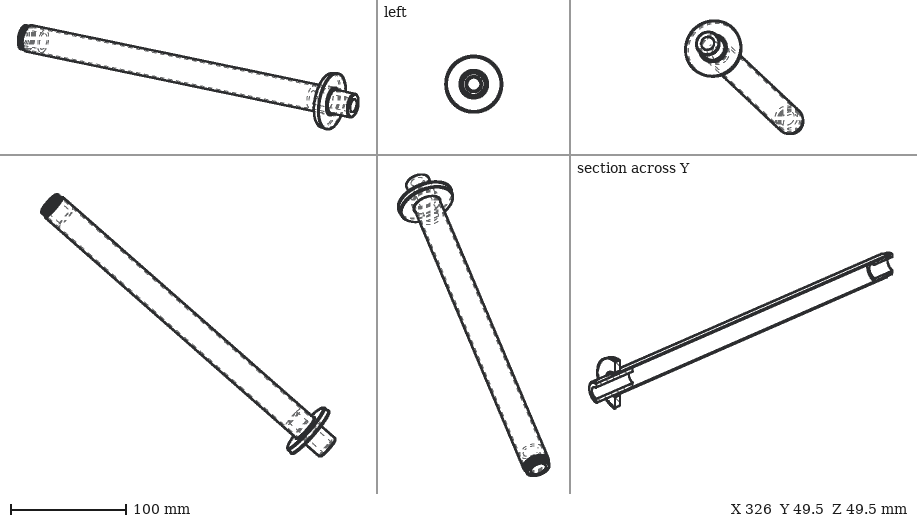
import cadquery as cq

overall_length = 326.0

tube_outer_radius = 11.75
tube_bore_radius = 10.0
tube_start = 6.0

flange_rim_radius = 24.75
flange_radius = 24.2
flange_width = 6.0
flange_end = 305.5
flange_start = flange_end - flange_width
flange_rim_width = 1.0
flange_chamfer = 0.9
bushing_radius = 12.35

connector_radius = 10.5
connector_bore_radius = 5.75
connector_chamfer = 0.8
collar_radius = 10.7
collar_width = 1.2
plug_length = 20.0

nozzle_radius = 10.75
nozzle_bore_radius = 7.0
nozzle_nose_length = 0.8
nozzle_nose_radius = 9.4
nozzle_head_width = 3.0
spigot_length = 14.0

groove_radius = 9.75
seal_radius = 10.75
seal_width = 1.0
seal_start = (nozzle_head_width + tube_start - seal_width) / 2


def turned(profile):
    """Revolve a closed list of (x, radius) points about the X axis."""
    return cq.Workplane("XY").polyline(profile).close().revolve(360, (0, 0, 0), (1, 0, 0))


def sleeve(start, end, outer_radius, inner_radius):
    """Plain hollow cylinder between two stations on the X axis."""
    return turned([
        (start, inner_radius),
        (start, outer_radius),
        (end, outer_radius),
        (end, inner_radius),
    ])


def make_flange():
    """Disc with a chamfered front edge and a slightly wider rim at the back."""
    rim_start = flange_end - flange_rim_width
    return turned([
        (flange_start, bushing_radius),
        (flange_start, flange_radius - flange_chamfer),
        (flange_start + flange_chamfer, flange_radius),
        (rim_start, flange_radius),
        (rim_start, flange_rim_radius),
        (flange_end, flange_rim_radius),
        (flange_end, bushing_radius),
    ])


def make_connector():
    """Plug in the tube, a narrow collar against its end and a chamfered stub."""
    collar_end = flange_end + collar_width
    return turned([
        (flange_end - plug_length, connector_bore_radius),
        (flange_end - plug_length, tube_bore_radius),
        (flange_end, tube_bore_radius),
        (flange_end, collar_radius),
        (collar_end, collar_radius),
        (collar_end, connector_radius),
        (overall_length - connector_chamfer, connector_radius),
        (overall_length, connector_radius - connector_chamfer),
        (overall_length, connector_bore_radius),
    ])


def make_nozzle():
    """Head with a bevelled nose, a seal groove and a spigot in the tube."""
    spigot_end = tube_start + spigot_length
    return turned([
        (0, nozzle_bore_radius),
        (0, nozzle_nose_radius),
        (nozzle_nose_length, nozzle_radius),
        (nozzle_head_width, nozzle_radius),
        (nozzle_head_width, groove_radius),
        (tube_start, groove_radius),
        (tube_start, tube_bore_radius),
        (spigot_end, tube_bore_radius),
        (spigot_end, nozzle_bore_radius),
    ])


tube = sleeve(tube_start, flange_end, tube_outer_radius, tube_bore_radius)
flange = make_flange()
bushing = sleeve(flange_start, flange_end, bushing_radius, tube_outer_radius)
connector = make_connector()
nozzle = make_nozzle()
seal = sleeve(seal_start, seal_start + seal_width, seal_radius, groove_radius)

result = cq.Compound.makeCompound([
    tube.val(),
    flange.val(),
    bushing.val(),
    connector.val(),
    nozzle.val(),
    seal.val(),
])